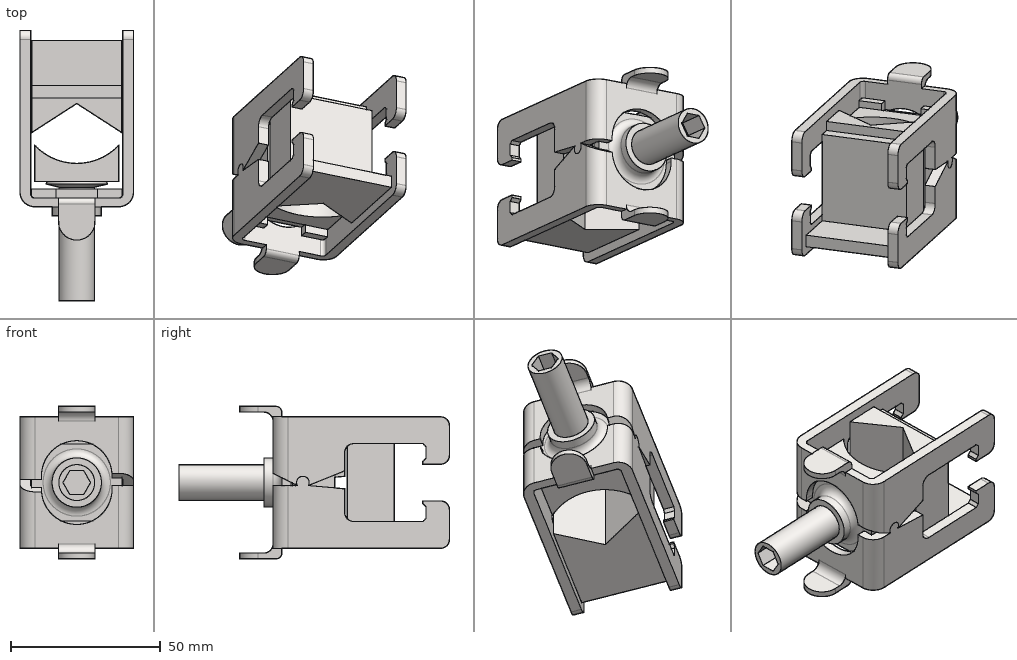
import cadquery as cq
import math


arc_inset = 1 - math.sqrt(0.5)

clip_width = 38.0
clip_depth = 59.0
clip_half_height = 22.0
leg_thickness = 3.65
wall_thickness = 3.0
bend_outer_radius = 5.0
bend_inner_radius = bend_outer_radius - leg_thickness
leg_corner_radius = 3.0

window_front = 24.0
window_back = 51.1
window_top = 13.0
window_front_radius = 3.0
window_back_chamfer = 1.0

hook_bottom = 6.1
hook_lip_front = 50.0
hook_lip_height = 0.9
hook_lip_chamfer = window_back - hook_lip_front

screw_hole_radius = 11.8
screw_hole_offset = 2.2

hinge_y = 10.0
hinge_radius = 2.1
joint_offset = 1.0
tongue_rise_at_window = 2.05
socket_rise_at_window = 3.95
socket_rise_at_wall = 3.1
hinge_half_chord = math.sqrt(hinge_radius**2 - joint_offset**2)

tab_width = 12.2
tab_thickness = 2.0
tab_top = 25.5
tab_reach = 11.1
tab_inner_radius = 3.0
tab_outer_radius = 2.0

block_width = 30.2
block_front = 24.75
block_back = 40.6
block_top = 19.0
vee_depth = 9.75
block_step_depth = 4.2
block_step_drop = 3.2
foot_back = 55.6
foot_top = -14.9

nut_width = 30.3
nut_height = 32.0
nut_thickness = 3.0
nut_notch_width = 14.0
nut_waist_height = 25.8
collar_diameter = 16.49
collar_length = 3.0
collar_fillet = 3.0

screw_diameter = 12.0
screw_tip = -31.4
socket_across_flats = 8.0
socket_depth = 10.0
rim_radius = 10.3
rim_face_radius = 10.0
rim_start = 6.55
rim_edge = 7.6
saddle_front = 8.45
saddle_back = 20.65
saddle_width = 28.2
saddle_height = 29.2
saddle_sag = 6.1


def extrude_x(profile, start, end):
    """Extrude a closed YZ profile from X = start to X = end."""
    return profile.extrude(end - start).translate((start, 0, 0))


def channel():
    """Tall U-shaped channel with bent corners, seen along Z."""
    outer = (
        cq.Workplane("XY")
        .box(clip_width, clip_depth, 2 * clip_half_height, centered=(True, False, True))
        .edges("|Z and <Y")
        .fillet(bend_outer_radius)
    )
    inner = (
        cq.Workplane("XY")
        .box(clip_width - 2 * leg_thickness, clip_depth, 2 * clip_half_height, centered=(True, False, True))
        .edges("|Z and <Y")
        .fillet(bend_inner_radius)
        .translate((0, wall_thickness, 0))
    )
    return outer.cut(inner)


def side_profile(lower_edge):
    """YZ outline of the half clip; lower_edge draws the joint from the window to the wall."""
    corner = leg_corner_radius
    lip_top = hook_bottom + hook_lip_height
    outline = (
        cq.Workplane("YZ")
        .moveTo(0, clip_half_height)
        .lineTo(clip_depth - corner, clip_half_height)
        .threePointArc(
            (clip_depth - corner * arc_inset, clip_half_height - corner * arc_inset),
            (clip_depth, clip_half_height - corner),
        )
        .lineTo(clip_depth, hook_bottom + corner)
        .threePointArc(
            (clip_depth - corner * arc_inset, hook_bottom + corner * arc_inset),
            (clip_depth - corner, hook_bottom),
        )
        .lineTo(hook_lip_front, hook_bottom)
        .lineTo(hook_lip_front, lip_top)
        .lineTo(window_back, lip_top + hook_lip_chamfer)
        .lineTo(window_back, window_top - window_back_chamfer)
        .lineTo(window_back - window_back_chamfer, window_top)
        .lineTo(window_front + window_front_radius, window_top)
        .threePointArc(
            (window_front + window_front_radius * arc_inset, window_top - window_front_radius * arc_inset),
            (window_front, window_top - window_front_radius),
        )
    )
    return lower_edge(outline).close()


def tongue_edge(outline):
    """Nearly straight joint edge carrying the round hinge tongue."""
    return (
        outline.lineTo(window_front, tongue_rise_at_window)
        .lineTo(hinge_y + hinge_half_chord, joint_offset)
        .threePointArc((hinge_y, -hinge_radius), (hinge_y - hinge_half_chord, joint_offset))
        .lineTo(0, joint_offset)
    )


def socket_edge(outline):
    """Joint edge that slopes away on both sides of the round hinge socket."""
    return (
        outline.lineTo(window_front, socket_rise_at_window)
        .lineTo(hinge_y + hinge_half_chord, -joint_offset)
        .threePointArc((hinge_y, hinge_radius), (hinge_y - hinge_half_chord, -joint_offset))
        .lineTo(0, socket_rise_at_wall)
    )


def screw_opening():
    """Round-ended opening in the front wall around the nut collar."""
    arch = cq.Workplane("XZ").center(0, screw_hole_offset).circle(screw_hole_radius)
    throat_height = screw_hole_offset + clip_half_height
    throat = (
        cq.Workplane("XZ")
        .center(0, screw_hole_offset - throat_height / 2)
        .rect(2 * screw_hole_radius, throat_height)
    )
    return arch.extrude(-wall_thickness).union(throat.extrude(-wall_thickness))


def tab():
    """Finger tab bent forward from the top of the front wall, with a round end."""
    bend_start = tab_top - tab_thickness - tab_inner_radius
    bent_strip = extrude_x(
        cq.Workplane("YZ")
        .moveTo(wall_thickness, bend_start)
        .lineTo(wall_thickness, tab_top - tab_outer_radius)
        .threePointArc(
            (wall_thickness - tab_outer_radius * arc_inset, tab_top - tab_outer_radius * arc_inset),
            (wall_thickness - tab_outer_radius, tab_top),
        )
        .lineTo(-tab_reach, tab_top)
        .lineTo(-tab_reach, tab_top - tab_thickness)
        .lineTo(-tab_inner_radius, tab_top - tab_thickness)
        .threePointArc(
            (-tab_inner_radius * arc_inset, bend_start + tab_inner_radius * (1 - arc_inset)),
            (0, bend_start),
        )
        .close(),
        -tab_width / 2,
        tab_width / 2,
    )
    half_width = tab_width / 2
    plan = (
        cq.Workplane("XY")
        .moveTo(-half_width, wall_thickness)
        .lineTo(-half_width, half_width - tab_reach)
        .threePointArc((0, -tab_reach), (half_width, half_width - tab_reach))
        .lineTo(half_width, wall_thickness)
        .close()
        .extrude(tab_top)
    )
    return bent_strip.intersect(plan)


def clip():
    """Upper clip: tongue side at -X, socket side at +X."""
    half_width = clip_width / 2
    tongue_side = extrude_x(side_profile(tongue_edge), -half_width, 0)
    socket_side = extrude_x(side_profile(socket_edge), 0, half_width)
    body = channel().intersect(tongue_side.union(socket_side))
    return body.cut(screw_opening()).union(tab()).cut(nut_blank())


def v_block():
    """Block with a V-shaped seat, a step along its top back edge and a foot reaching backwards."""
    half_width = block_width / 2
    block = extrude_x(
        cq.Workplane("YZ")
        .moveTo(block_front, -block_top)
        .lineTo(block_front, block_top)
        .lineTo(block_back - block_step_depth, block_top)
        .lineTo(block_back - block_step_depth, block_top - block_step_drop)
        .lineTo(block_back, block_top - block_step_drop)
        .lineTo(block_back, foot_top)
        .lineTo(foot_back, foot_top)
        .lineTo(foot_back, -block_top)
        .close(),
        -half_width,
        half_width,
    )
    vee = (
        cq.Workplane("XY")
        .moveTo(-half_width, block_front)
        .lineTo(0, block_front + vee_depth)
        .lineTo(half_width, block_front)
        .close()
        .extrude(block_top, both=True)
    )
    return block.cut(vee)


def nut_blank():
    """Flat nut plate, notched at its top and bottom edges."""
    plate = cq.Workplane("XY").box(nut_width, nut_thickness, nut_height, centered=(True, False, True))
    notch_depth = (nut_height - nut_waist_height) / 2
    for side in (-1, 1):
        notch = (
            cq.Workplane("XY")
            .box(nut_notch_width, nut_thickness, notch_depth, centered=(True, False, True))
            .translate((0, 0, side * (nut_height - notch_depth) / 2))
        )
        plate = plate.cut(notch)
    return plate.translate((0, wall_thickness, 0))


def nut_plate():
    """Nut plate behind the clip front walls with a flared collar around the screw."""
    plate = nut_blank()
    collar_radius = collar_diameter / 2
    flare_radius = collar_radius + collar_fillet
    collar = (
        cq.Workplane("XY")
        .moveTo(0, -collar_length)
        .lineTo(collar_radius, -collar_length)
        .lineTo(collar_radius, wall_thickness - collar_fillet)
        .threePointArc(
            (collar_radius + collar_fillet * arc_inset, wall_thickness - collar_fillet * arc_inset),
            (flare_radius, wall_thickness),
        )
        .lineTo(0, wall_thickness)
        .close()
        .revolve(360, (0, 0, 0), (0, 1, 0))
    )
    bore = (
        cq.Workplane("XZ", origin=(0, -collar_length, 0))
        .circle(screw_diameter / 2)
        .extrude(-(collar_length + wall_thickness + nut_thickness))
    )
    return plate.union(collar).cut(bore)


def clamping_screw():
    """Screw with a hexagon socket, a rim at its inner end and a concave pressure saddle."""
    screw_radius = screw_diameter / 2
    shaft = (
        cq.Workplane("XY")
        .moveTo(0, screw_tip)
        .lineTo(screw_radius, screw_tip)
        .lineTo(screw_radius, rim_start)
        .lineTo(rim_radius, rim_edge)
        .lineTo(rim_face_radius, saddle_front)
        .lineTo(0, saddle_front)
        .close()
        .revolve(360, (0, 0, 0), (0, 1, 0))
    )
    hexagon = (
        cq.Workplane("XZ", origin=(0, screw_tip, 0))
        .polygon(6, socket_across_flats / math.cos(math.pi / 6))
        .extrude(-socket_depth)
    )
    half_width = saddle_width / 2
    saddle = (
        cq.Workplane("XY")
        .moveTo(-half_width, saddle_front)
        .lineTo(half_width, saddle_front)
        .lineTo(half_width, saddle_back)
        .threePointArc((0, saddle_back - saddle_sag), (-half_width, saddle_back))
        .close()
        .extrude(saddle_height / 2, both=True)
    )
    return shaft.cut(hexagon).union(saddle)


upper_clip = clip()
clips = [upper_clip.rotate((0, 0, 0), (0, 1, 0), turn) for turn in (0, 180)]
block = v_block()
nut = nut_plate()
screw = clamping_screw()

result = cq.Compound.makeCompound(
    [*[half.val() for half in clips], block.val(), nut.val(), screw.val()]
)